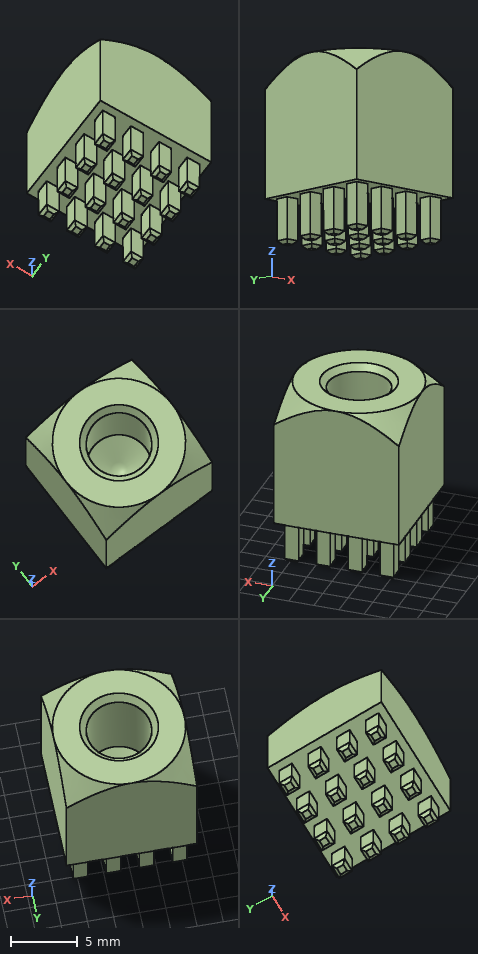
import cadquery as cq
import math

total_height = 14.0
body_side = 10.0
pin_length = 3.5
body_height = total_height - pin_length

crown_angle = 45.0

hole_diameter = 4.91
hole_depth = 7.0
drill_point_angle = 120.0
countersink_diameter = 5.91

pins_per_side = 4
pin_pitch = 2.53
pin_width = 1.12
pin_tip_chamfer = 0.28


def make_body():
    """Square block whose upper corners are turned down to a cone."""
    block = cq.Workplane("XY").box(body_side, body_side, body_height, centered=(True, True, False))
    block = block.translate((0, 0, pin_length))
    top_radius = body_side / 2
    outer_radius = body_side
    cone_drop = (outer_radius - top_radius) * math.tan(math.radians(crown_angle))
    envelope = (
        cq.Workplane("XZ")
        .moveTo(0, 0)
        .lineTo(outer_radius, 0)
        .lineTo(outer_radius, total_height - cone_drop)
        .lineTo(top_radius, total_height)
        .lineTo(0, total_height)
        .close()
        .revolve(360, (0, 0, 0), (0, 1, 0))
    )
    return block.intersect(envelope)


def make_hole():
    """Countersunk blind hole ending in a drill point."""
    radius = hole_diameter / 2
    mouth_radius = countersink_diameter / 2
    countersink_depth = mouth_radius - radius
    wall_end = total_height - hole_depth
    point_height = radius / math.tan(math.radians(drill_point_angle / 2))
    return (
        cq.Workplane("XZ")
        .moveTo(0, wall_end - point_height)
        .lineTo(radius, wall_end)
        .lineTo(radius, total_height - countersink_depth)
        .lineTo(mouth_radius, total_height)
        .lineTo(0, total_height)
        .close()
        .revolve(360, (0, 0, 0), (0, 1, 0))
    )


def make_pins():
    """Square grid of square pins with chamfered tips."""
    return (
        cq.Workplane("XY")
        .rarray(pin_pitch, pin_pitch, pins_per_side, pins_per_side)
        .rect(pin_width, pin_width)
        .extrude(pin_length)
        .faces("<Z")
        .edges()
        .chamfer(pin_tip_chamfer)
    )


result = make_body().cut(make_hole()).union(make_pins())